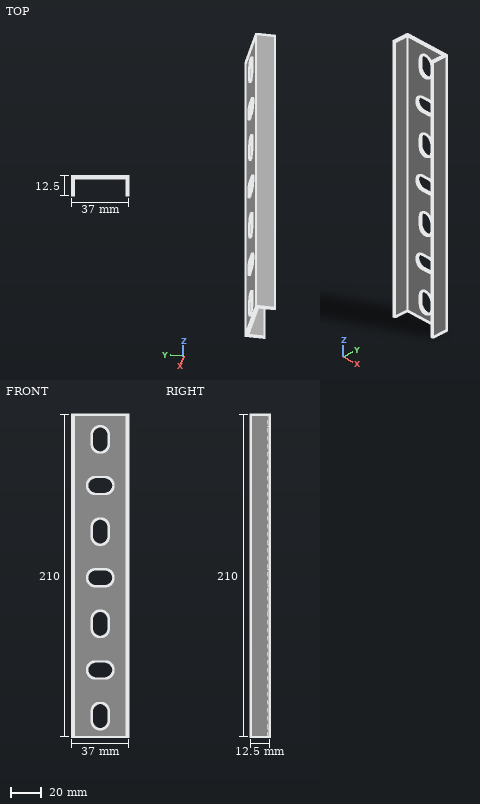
import cadquery as cq

width = 37.0
depth = 12.5
length = 210.0
wall = 1.5

slot_count = 7
slot_pitch = 30.0
slot_length = 17.0
slot_width = 11.0
slot_drop = 1.3


def make_channel():
    """U channel along Z, open towards -Y, with the web on the +Y side."""
    outer = cq.Workplane("XY").box(width, depth, length)
    hollow = (
        cq.Workplane("XY")
        .box(width - 2 * wall, depth, length)
        .translate((0, -wall, 0))
    )
    return outer.cut(hollow)


def make_slot(height, angle):
    """Round-ended cutter through the whole depth, centred at the given Z."""
    return (
        cq.Workplane("XZ")
        .center(0, height)
        .slot2D(slot_length, slot_width, angle)
        .extrude(depth, both=True)
    )


result = make_channel()

for index in range(slot_count):
    height = (index - (slot_count - 1) / 2) * slot_pitch - slot_drop
    is_upright = index % 2 == 0
    result = result.cut(make_slot(height, 90 if is_upright else 0))